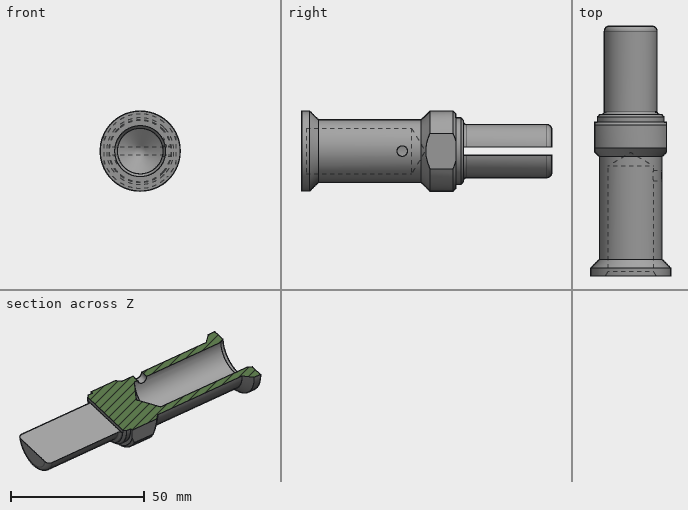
import cadquery as cq
import math

length = 93.5
flange_rim_end = 3.0
flange_cone_end = 6.3
hex_cone_start = 44.7
hex_cone_end = 48.0
hex_end = 57.6
collar_end = 60.5

flange_radius = 15.01
barrel_radius = 11.8
hex_radius = flange_radius
collar_radius = 12.5
pin_radius = 10.0

edge_size = 1.0
tip_fillet = 2.0

across_flats = 26.9
slot_width = 3.0
bore_radius = 8.5
mouth_chamfer_width = 1.0
mouth_chamfer_depth = 1.8
bore_depth = 41.1
drill_point_angle = 118.0
sight_hole_radius = 2.0
sight_hole_y = 37.6


def revolve_about_y(profile):
    """Turn a closed XY profile, X being the radius, about the Y axis."""
    return profile.close().revolve(360, (0, 0, 0), (0, 1, 0))


def convex_fillet_mid(radius, size, y):
    """Midpoint of the rounded edge where a cylinder meets the end face at y."""
    inset = size * (1 - math.sqrt(0.5))
    return radius - inset, y - inset


def turned_body():
    root_inset = edge_size * (1 - math.sqrt(0.5))
    profile = (
        cq.Workplane("XY")
        .moveTo(0, 0)
        .lineTo(flange_radius, 0)
        .lineTo(flange_radius, flange_rim_end)
        .lineTo(barrel_radius, flange_cone_end)
        .lineTo(barrel_radius, hex_cone_start)
        .lineTo(hex_radius, hex_cone_end)
        .lineTo(hex_radius, hex_end - edge_size)
        .lineTo(hex_radius - edge_size, hex_end)
        .lineTo(collar_radius, hex_end)
        .lineTo(collar_radius, collar_end - edge_size)
        .lineTo(collar_radius - edge_size, collar_end)
        .lineTo(pin_radius + edge_size, collar_end)
        .threePointArc(
            (pin_radius + root_inset, collar_end + root_inset),
            (pin_radius, collar_end + edge_size),
        )
        .lineTo(pin_radius, length - tip_fillet)
        .threePointArc(
            convex_fillet_mid(pin_radius, tip_fillet, length),
            (pin_radius - tip_fillet, length),
        )
        .lineTo(0, length)
    )
    return revolve_about_y(profile)


def crimp_bore():
    """Blind bore with a chamfered mouth and a conical drill point."""
    point_depth = bore_radius / math.tan(math.radians(drill_point_angle / 2))
    profile = (
        cq.Workplane("XY")
        .moveTo(0, 0)
        .lineTo(bore_radius + mouth_chamfer_width, 0)
        .lineTo(bore_radius, mouth_chamfer_depth)
        .lineTo(bore_radius, bore_depth)
        .lineTo(0, bore_depth + point_depth)
    )
    return revolve_about_y(profile)


def wrench_flat(side):
    """Block removing one flat on the +X (side = 1) or -X (side = -1) face."""
    block_depth = hex_radius
    return cq.Workplane("XY").box(
        block_depth, hex_end - hex_cone_start, 2 * hex_radius
    ).translate((
        side * (across_flats + block_depth) / 2,
        (hex_cone_start + hex_end) / 2,
        0,
    ))


def pin_slot():
    """Slot through the pin along X, splitting it into two spring legs."""
    slot_length = length - collar_end
    return cq.Workplane("XY").box(
        2 * flange_radius, slot_length, slot_width
    ).translate((0, collar_end + slot_length / 2, 0))


def sight_hole():
    """Inspection hole from the bore out through the +X wall."""
    return (
        cq.Workplane("YZ")
        .center(sight_hole_y, 0)
        .circle(sight_hole_radius)
        .extrude(flange_radius)
    )


result = turned_body().cut(crimp_bore())
for side in (-1, 1):
    result = result.cut(wrench_flat(side))
result = result.cut(pin_slot()).cut(sight_hole())